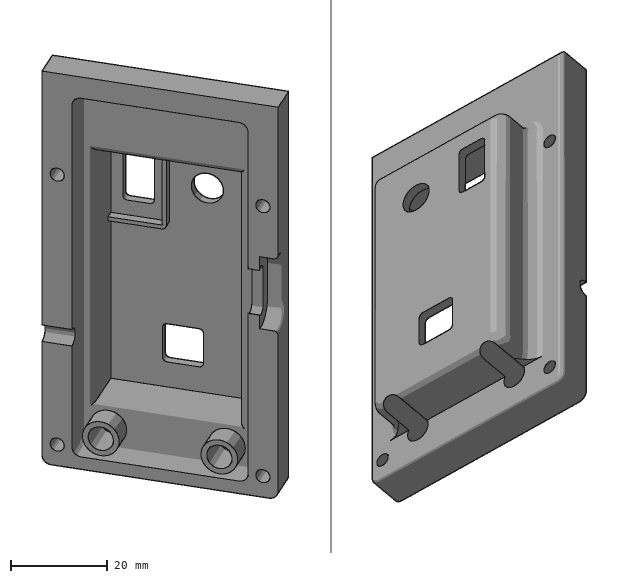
import cadquery as cq

plate_width = 51.5
plate_height = 93.0
plate_depth = 8.0
plate_corner_radius = 2.0
plate_rear_radius = 1.0
total_depth = 18.0

housing_width = 35.5
housing_bottom = 9.3
housing_top = 74.8
housing_corner_radius = 2.0
housing_edge_radius = 3.0
housing_root_radius = 3.0

recess_width = 38.4
recess_bottom = 3.0
recess_top = 88.0
recess_depth = 5.2
recess_corner_radius = 2.0
recess_floor_radius = 1.0

pocket_width = 31.6
pocket_bottom = 13.5
pocket_top = 72.9
pocket_lip_radius = 1.0
floor_thickness = 2.0
pocket_depth = total_depth - floor_thickness

rim_right = -3.1
rim_bottom = 51.9
rim_width = 0.9
rim_height = 2.0
rim_corner_radius = 1.0

window_radius = 1.0
tall_window = (-9.8, 62.4, 6.9, 12.2)
square_window = (-0.1, 23.9, 8.9, 9.0)
round_hole_diameter = 7.0
round_hole_x = 5.2
round_hole_z = 62.0

screw_diameter = 3.1
screw_x = 22.4
screw_heights = (5.0, 69.0)
post_outer_diameter = 8.0
post_inner_diameter = 5.5
post_x = 12.9
post_z = 8.0
post_front = 0.0

groove_diameter = 3.9
groove_axis_y = 0.2
groove_z = 30.9

connector_z = 48.4
connector_axis_y = 1.0
connector_straight = 8.4
connector_narrow_radius = 1.5
connector_wide_radius = 4.5
connector_step_x = 21.7
connector_mouth_radius = 1.0

right_edge_x = plate_width / 2
recess_edge_x = recess_width / 2
selection_margin = 0.1


def block(x, z, width, height, y_start, y_end):
    """Box centred on (x, z) that runs from y_start to y_end."""
    return cq.Workplane("XY").box(width, y_end - y_start, height).translate((x, (y_start + y_end) / 2, z))


def span_block(width, bottom, top, y_start, y_end):
    """Box centred on X = 0 between two heights."""
    return block(0, (bottom + top) / 2, width, top - bottom, y_start, y_end)


def rod(x, z, diameter, y_start, y_end):
    """Cylinder along Y."""
    plane = cq.Workplane("XZ", origin=(x, y_start, z))
    return plane.circle(diameter / 2).extrude(y_start - y_end)


def slot(radius, x_start, x_end):
    """Round-ended connector slot along X."""
    plane = cq.Workplane("YZ", origin=(x_start, connector_axis_y, connector_z))
    return plane.slot2D(connector_straight + 2 * radius, 2 * radius, 90).extrude(x_end - x_start)


def edges_within(x_range, y_range, z_range):
    """Selector for the edges that lie wholly inside a box, allowing a small margin."""
    ranges = (x_range, y_range, z_range)
    low = tuple(start - selection_margin for start, end in ranges)
    high = tuple(end + selection_margin for start, end in ranges)
    return cq.selectors.BoxSelector(low, high, boundingbox=True)


plate = span_block(plate_width, 0, plate_height, 0, plate_depth)
plate = plate.edges("|Y and <Z").fillet(plate_corner_radius)
plate = plate.faces(">Y").edges().fillet(plate_rear_radius)

housing = span_block(housing_width, housing_bottom, housing_top, recess_depth, total_depth)
housing = housing.faces(">Y").edges().fillet(housing_edge_radius)
housing = housing.edges("|Y").fillet(housing_corner_radius)
body = plate.union(housing)

root_edges = edges_within(
    (-housing_width / 2, housing_width / 2),
    (plate_depth, plate_depth),
    (housing_bottom, housing_top),
)
body = body.edges(root_edges).fillet(housing_root_radius)
trim = span_block(plate_width, 0, housing_bottom, plate_depth, total_depth)
body = body.cut(trim)

recess = span_block(recess_width, recess_bottom, recess_top, 0, recess_depth)
recess = recess.edges("|Y").fillet(recess_corner_radius)
recess = recess.faces(">Y").edges().fillet(recess_floor_radius)
body = body.cut(recess)

pocket = span_block(pocket_width, pocket_bottom, pocket_top, recess_depth, pocket_depth)
body = body.cut(pocket)
lip_edges = edges_within(
    (-pocket_width / 2, pocket_width / 2),
    (recess_depth, recess_depth),
    (pocket_bottom, pocket_top),
)
body = body.edges(lip_edges).fillet(pocket_lip_radius)

rim_left = -pocket_width / 2
rim_x = (rim_left + rim_right) / 2
rim_z = (rim_bottom + pocket_top) / 2
rim_length = rim_right - rim_left
rim_tall = pocket_top - rim_bottom
rim_front = pocket_depth - rim_height
rim = block(rim_x, rim_z, rim_length, rim_tall, rim_front, pocket_depth)
rim = rim.edges("|Y and >X").fillet(rim_corner_radius)
rim_inside = block(
    rim_x - rim_width / 2, rim_z, rim_length - rim_width, rim_tall - 2 * rim_width, rim_front, pocket_depth
)
body = body.union(rim.cut(rim_inside))

for x, z, width, height in (tall_window, square_window):
    window = block(x, z, width, height, rim_front, total_depth)
    body = body.cut(window.edges("|Y").fillet(window_radius))
body = body.cut(rod(round_hole_x, round_hole_z, round_hole_diameter, rim_front, total_depth))

for x in (-post_x, post_x):
    body = body.union(rod(x, post_z, post_outer_diameter, post_front, plate_depth))
    body = body.cut(rod(x, post_z, post_inner_diameter, 0, total_depth))

for x in (-screw_x, screw_x):
    for z in screw_heights:
        body = body.cut(rod(x, z, screw_diameter, 0, plate_depth))

groove_length = right_edge_x - recess_edge_x
groove_x = -right_edge_x + groove_length / 2
groove = cq.Workplane("YZ", origin=(-right_edge_x, groove_axis_y, groove_z)).circle(groove_diameter / 2)
body = body.cut(groove.extrude(groove_length))
body = body.cut(block(groove_x, groove_z, groove_length, groove_diameter, 0, groove_axis_y))

narrow_slot = slot(connector_narrow_radius, recess_edge_x, connector_step_x)
wide_slot = slot(connector_wide_radius, connector_step_x, right_edge_x)
body = body.cut(narrow_slot).cut(wide_slot)
mouth_reach = connector_straight / 2 + connector_wide_radius
mouth_edges = edges_within(
    (right_edge_x, right_edge_x),
    (0, connector_axis_y + connector_wide_radius),
    (connector_z - mouth_reach, connector_z + mouth_reach),
)
body = body.edges(mouth_edges).fillet(connector_mouth_radius)

result = body